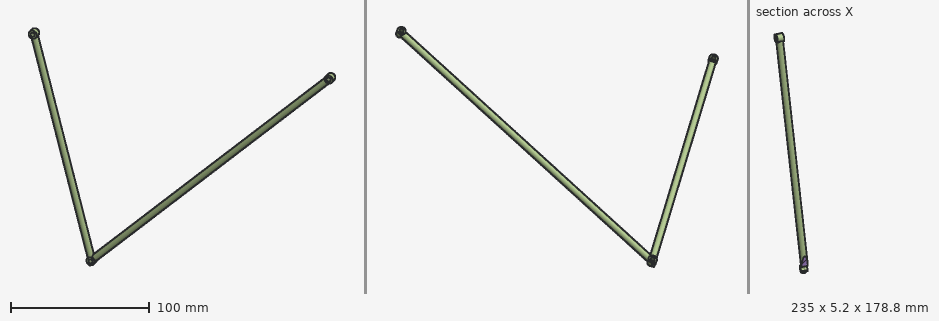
import cadquery as cq

total_length = 235.0
rod_diameter = 5.2
eye_diameter = 6.3
hole_diameter = 3.0
corner_offset = 44.6
corner_drop = 170.8

eye_span = total_length - eye_diameter
left_end = (-corner_offset, corner_drop)
corner = (0.0, 0.0)
right_end = (eye_span - corner_offset, corner_drop)
eye_centres = [left_end, corner, right_end]


def cylinders_along_y(diameter):
    """Cylinders centred on the XZ plane at every eye centre."""
    return (
        cq.Workplane("XZ")
        .pushPoints(eye_centres)
        .circle(diameter / 2)
        .extrude(rod_diameter / 2, both=True)
    )


def bent_rod():
    """Round rod along both legs, with a sharp mitre at the corner."""
    path = cq.Workplane("XZ").polyline(eye_centres)
    start_plane = cq.Plane(
        origin=(left_end[0], 0, left_end[1]),
        xDir=(0, 1, 0),
        normal=(corner_offset, 0, -corner_drop),
    )
    return cq.Workplane(start_plane).circle(rod_diameter / 2).sweep(path, transition="right")


eyes = cylinders_along_y(eye_diameter)
holes = cylinders_along_y(hole_diameter)
result = bent_rod().union(eyes).cut(holes)